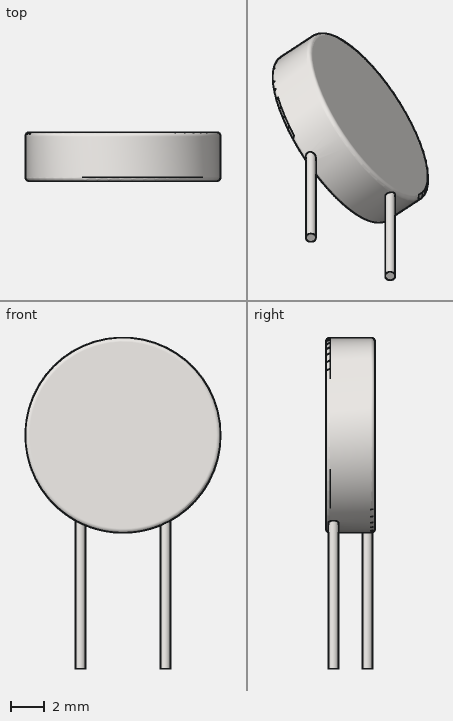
import cadquery as cq


body_diameter = 11.5
body_thickness = 2.9
edge_radius = 0.25

lead_diameter = 0.6
lead_pitch = 5.0
lead_stagger = 2.0
lead_length_below_body = 8.0

body_radius = body_diameter / 2
lead_end_z = -body_radius - lead_length_below_body


def make_body():
    """Disc centred on the origin, axis along Y, with both rims rounded."""
    back_plane = cq.Workplane("XZ", origin=(0, body_thickness / 2, 0))
    disc = back_plane.circle(body_radius).extrude(body_thickness)
    return disc.edges("%CIRCLE").fillet(edge_radius)


def make_lead(side):
    """Straight wire from its free end up to mid-height inside the body.

    The side is -1 for the -X, +Y lead and +1 for the +X, -Y lead.
    """
    x = side * lead_pitch / 2
    y = -side * lead_stagger / 2
    wire = cq.Workplane("XY", origin=(x, y, lead_end_z))
    return wire.circle(lead_diameter / 2).extrude(-lead_end_z)


result = make_body()
for side in (-1, 1):
    result = result.union(make_lead(side))